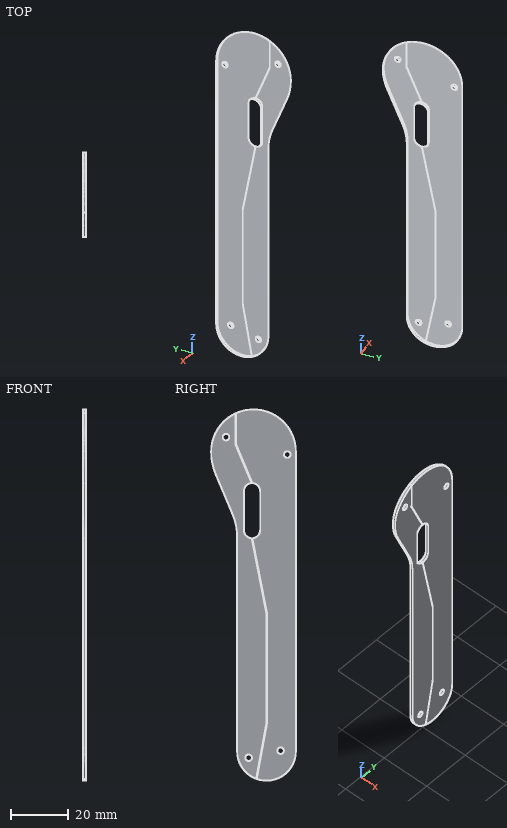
import cadquery as cq
import math

length = 129.6
thickness = 1.1
head_radius = 14.84
handle_width = 20.6

top_z = length / 2
head_z = top_z - head_radius
back_y = head_radius

tail_radius = handle_width / 2
front_y = back_y - handle_width
tail_y = back_y - tail_radius
tail_z = tail_radius - length / 2

neck_angle = math.radians(22.9)
neck_radius = 20.0

slot_width = 5.6
slot_length = 19.2
slot_y = -0.5
slot_z = 29.4

hole_diameter = 2.2
back_holes = [(11.8, 49.0), (9.5, -54.3)]
front_holes = [(-9.6, 55.1), (-1.7, -56.8)]

seam_gap = 0.1
seam_top_y = -6.2
seam_mid_y = 4.7
seam = [
    (seam_top_y, top_z),
    (seam_top_y, 52.6),
    (slot_y, slot_z + slot_length / 2),
    (slot_y, slot_z - slot_length / 2),
    (seam_mid_y, -6.7),
    (seam_mid_y, -44.5),
    (0.9, -length / 2),
]


def arc_point(centre, radius, angle):
    """Point on a circle, with the angle measured from +Y towards +Z."""
    return (centre[0] + radius * math.cos(angle), centre[1] + radius * math.sin(angle))


def plate_blank():
    """Full outline of the plate, before it is split."""
    upper_centre = (neck_radius - head_radius, head_z)
    upper_mid = arc_point(upper_centre, neck_radius, math.pi + neck_angle / 2)
    upper_end = arc_point(upper_centre, neck_radius, math.pi + neck_angle)

    lower_centre_y = front_y - neck_radius
    centre_step = upper_centre[0] - lower_centre_y
    centre_drop = (2 * neck_radius - centre_step * math.cos(neck_angle)) / math.sin(neck_angle)
    lower_centre = (lower_centre_y, head_z - centre_drop)
    lower_start = arc_point(lower_centre, neck_radius, neck_angle)
    lower_mid = arc_point(lower_centre, neck_radius, neck_angle / 2)
    lower_end = arc_point(lower_centre, neck_radius, 0)

    return (
        cq.Workplane("YZ", origin=(-thickness / 2, 0, 0))
        .moveTo(back_y, tail_z)
        .lineTo(back_y, head_z)
        .threePointArc((0, top_z), (-head_radius, head_z))
        .threePointArc(upper_mid, upper_end)
        .lineTo(*lower_start)
        .threePointArc(lower_mid, lower_end)
        .lineTo(front_y, tail_z)
        .threePointArc((tail_y, tail_z - tail_radius), (back_y, tail_z))
        .close()
        .extrude(thickness)
    )


def cutter_sketch(centres):
    """Workplane on the -X face of the plate, holding the given (y, z) centres."""
    return cq.Workplane("YZ", origin=(-thickness / 2, 0, 0)).pushPoints(centres)


def finger_slot():
    return cutter_sketch([(slot_y, slot_z)]).slot2D(slot_length, slot_width, 90).extrude(thickness)


def holes(centres):
    return cutter_sketch(centres).circle(hole_diameter / 2).extrude(thickness)


def side_region(side):
    """Block that covers one side of the gap: side is 1 for the back and -1 for the front."""
    shift = side * seam_gap / 2
    edge = [(y + shift, z) for y, z in seam]
    outer_y = side * head_radius
    return (
        cq.Workplane("YZ", origin=(-thickness / 2, 0, 0))
        .polyline(edge + [(outer_y, -length / 2), (outer_y, top_z)])
        .close()
        .extrude(thickness)
    )


slotted_plate = plate_blank().cut(finger_slot())
back_half = slotted_plate.intersect(side_region(1)).cut(holes(back_holes))
front_half = slotted_plate.intersect(side_region(-1)).cut(holes(front_holes))

result = cq.Compound.makeCompound([back_half.val(), front_half.val()])